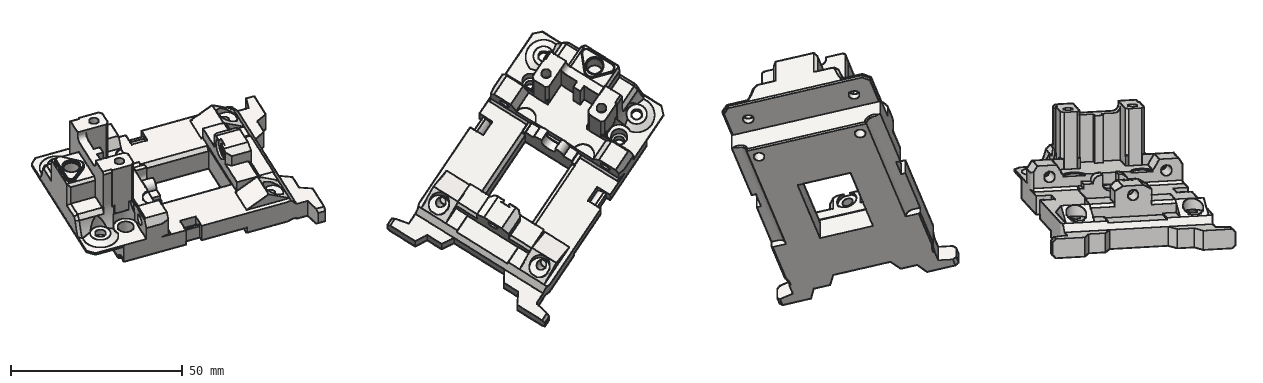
import cadquery as cq
import math

TOTAL_LENGTH = 72.8
HALF_WIDTH = 22.7
DECK_TOP = 8.0
BASE_FRONT = 11.0
BASE_REAR = 65.8
REAR_BEVEL_DEPTH = 1.9
REAR_TAPER_START = 62.95
REAR_TAPER_END = 64.6
REAR_HALF_WIDTH = 22.2

WINDOW_HALF_WIDTH = 8.1
WINDOW_FRONT = 28.7
WINDOW_REAR = 50.65
WINDOW_BEVEL = 1.2

WING_TOP = 5.8
WING_HALF_SPAN = 54.7 / 2
WING_TIP_CHAMFER = 0.95

PLATE_BOTTOM = 7.8
FLOOR_TOP = 8.9
PLATE_CORNER = 2.05
UNDERSIDE_BEVEL = 0.45
SADDLE_HALF_WIDTH = 9.2

CROSS_FRONT = 18.1
CROSS_REAR = 25.25
CROSS_TOP = 15.6
CROSS_FRONT_BEVEL = 0.4
CROSS_SIDE_BEVEL_WIDTH = 1.6
CROSS_SIDE_BEVEL_HEIGHT = 2.5
CROSS_TAPER = 0.45
CROSS_TAPER_LENGTH = 2.2
CROSS_FOOT_BEVEL = 0.7
POCKET_TOP_HALF = 15.35
POCKET_FLOOR_HALF = 13.4
POCKET_FLOOR = 12.4
POCKET_RIM = 0.45
SCALLOP_X = 10.1
SCALLOP_Y = 25.8
SCALLOP_RADIUS = 3.3
SCALLOP_DEPTH = 0.45

FLANK_FOOT = 15.2
FLANK_MIDDLE = (13.75, 11.95)
FLANK_TOP = 12.75
FLANK_HEIGHT = 16.8
PEDESTAL_TOP = 15.4
PEDESTAL_BEVEL = 0.95
BLOCK_HALF_WIDTH = 6.7
BLOCK_TOP = 22.7
BLOCK_BEVEL = 0.9

TOWER_INNER = 6.8
TOWER_OUTER = 12.5
TOWER_FRONT = 8.7
TOWER_REAR = 18.6
TOWER_TOP = 29.55
TOWER_CORNER = 0.9
TOWER_TOP_CHAMFER = 0.65
WEB_REAR = 11.5
WEB_TOP = 26.65
WEB_FILLET = 1.8
WEB_TAB_HALF_WIDTH = 1.25
WEB_TAB_REAR = 13.5
TOWER_HOLE = (9.6, 15.1)
TOWER_HOLE_DEPTH = 8.7

PILOT_DIAMETER = 2.8
SCREW_DIAMETER = 3.1
EAR_HOLE_DIAMETER = 3.2
SMALL_SEAT_DIAMETER = 4.7
SEAT_DIAMETER = 6.0
INNER_SCREW = (15.4, 14.6)
INNER_RELIEF_RADIUS = 3.65
OUTER_SCREW = (16.15, 6.3)
BOSS_HEIGHT = 0.95
BOSS_FOOT_RADIUS = 5.25
EAR_HOLE_X = 17.5
EAR_HOLE_Z = 12.1

BAR_FRONT = 50.9
BAR_REAR = 58.45
BAR_HALF_WIDTH = 12.8
BAR_TOP = 11.7
BAR_REAR_BEVEL = 0.95
WEDGE_OUTER = 21.3
WEDGE_FRONT = 50.4
WEDGE_APEX = 57.35
LUG_HALF_WIDTH = 5.5
LUG_TOP = 16.8
LUG_BEVEL_WIDTH = 2.5
LUG_BEVEL_HEIGHT = 1.4
LUG_HOLE_Z = 14.0
LUG_SEAT_DEPTH = 0.9
WEDGE_HOLE_Y = 60.4
WEDGE_SEAT_Z = 8.4
WEDGE_PILOT_Y = 59.4
WEDGE_PILOT_DEPTH = 4.4
LABEL_HALF_WIDTH = 8.8
LABEL_DEPTH = 0.45

HOLDER_FRONT = 25.2
HOLDER_HALF_WIDTH = 8.1
HOLDER_FOOT_TOP = 10.2
FINGER_HALF_WIDTH = 5.25
FINGER_TOP = 12.6
FINGER_ROUND = 2.3
GROOVE_FRONT = 25.9

CHANNEL_X = 20.7
CHANNEL_RADIUS = SMALL_SEAT_DIAMETER / 2
CHANNEL_END = 49.9
TIE_FRONT = 30.65
TIE_REAR = 35.6
TIE_NOTCH_X = 21.4
TIE_SLOT_OUTER = 20.5
TIE_SLOT_INNER = 18.2
TIE_WEB_TOP = 6.85
TIE_RING = (22.35, 2.9)
TIE_RING_RADIUS = 4.2

COLLAR_HEIGHT = 0.9
COLLAR_HOLE_Y = 3.9
COLLAR_CORNER_X = 4.1
COLLAR_CORNER_Y = 2.05
COLLAR_CORNER_RADIUS = 1.45
COLLAR_APEX_Y = 5.7
COLLAR_APEX_RADIUS = 2.1
COLLAR_EDGE_CHAMFER = 0.3
COLLAR_BORE_DEPTH = 7.3


def box(x0, x1, y0, y1, z0, z1):
    return cq.Workplane("XY").box(x1 - x0, y1 - y0, z1 - z0, centered=False).translate((x0, y0, z0))


def along_y(points, y0, y1):
    """Extrude an (X, Z) outline from y0 to y1."""
    return cq.Workplane("XZ", origin=(0, y0, 0)).polyline(points).close().extrude(y0 - y1)


def along_x(points, x0, x1):
    """Extrude a (Y, Z) outline from x0 to x1."""
    return cq.Workplane("YZ", origin=(x0, 0, 0)).polyline(points).close().extrude(x1 - x0)


def upright(points, z0, z1):
    """Extrude an (X, Y) outline from z0 to z1."""
    return cq.Workplane("XY", origin=(0, 0, z0)).polyline(points).close().extrude(z1 - z0)


def rod_z(x, y, radius, z0, z1):
    return cq.Workplane("XY", origin=(x, y, z0)).circle(radius).extrude(z1 - z0)


def rod_y(x, z, radius, y0, y1):
    return cq.Workplane("XZ", origin=(x, y0, z)).circle(radius).extrude(y0 - y1)


def mirrored(right_half):
    """A right-hand feature together with its left-hand twin."""
    return right_half.union(right_half.mirror("YZ"))


def symmetric(right_points):
    """Close an outline across X = 0 by mirroring its right-hand points."""
    return right_points + [(-x, v) for x, v in reversed(right_points)]


def make_base():
    outline = symmetric([
        (HALF_WIDTH, BASE_FRONT),
        (HALF_WIDTH, REAR_TAPER_START),
        (REAR_HALF_WIDTH, REAR_TAPER_END),
        (REAR_HALF_WIDTH, BASE_REAR),
    ])
    base = upright(outline, 0, DECK_TOP)
    base = base.faces("<Z").edges("not >Y").chamfer(UNDERSIDE_BEVEL)
    rear_bevel = along_x(
        [(BASE_REAR, WING_TOP), (BASE_REAR, DECK_TOP), (BASE_REAR - REAR_BEVEL_DEPTH, DECK_TOP)],
        -HALF_WIDTH, HALF_WIDTH,
    )
    window = box(-WINDOW_HALF_WIDTH, WINDOW_HALF_WIDTH, WINDOW_FRONT, WINDOW_REAR, 0, DECK_TOP)
    bevels = along_y(
        symmetric([
            (WINDOW_HALF_WIDTH, DECK_TOP - WINDOW_BEVEL),
            (WINDOW_HALF_WIDTH + WINDOW_BEVEL, DECK_TOP),
        ]),
        WINDOW_FRONT, WINDOW_REAR,
    )
    return base.cut(rear_bevel).cut(window).cut(bevels)


def make_wing():
    outline = [
        (8.7, BASE_REAR),
        (10.8, 69.3),
        (15.8, 69.3),
        (17.7, TOTAL_LENGTH),
        (WING_HALF_SPAN, TOTAL_LENGTH),
        (WING_HALF_SPAN, 70.45),
        (REAR_HALF_WIDTH, 69.3),
        (REAR_HALF_WIDTH, BASE_REAR),
    ]
    wing = upright(outline, 0, WING_TOP)
    return wing.faces(">X").edges("|Y").chamfer(WING_TIP_CHAMFER)


def make_plate_and_saddle():
    outline = symmetric([
        (HALF_WIDTH - PLATE_CORNER, 0),
        (HALF_WIDTH, PLATE_CORNER),
        (HALF_WIDTH, BASE_FRONT),
    ])
    plate = upright(outline, PLATE_BOTTOM, FLOOR_TOP)
    plate = plate.faces("<Z").edges("not >Y").chamfer(UNDERSIDE_BEVEL)
    floor = box(-HALF_WIDTH, HALF_WIDTH, BASE_FRONT, CROSS_FRONT, DECK_TOP, FLOOR_TOP)
    saddle = box(-SADDLE_HALF_WIDTH, SADDLE_HALF_WIDTH, CROSS_REAR, WINDOW_FRONT, DECK_TOP, FLOOR_TOP)
    return plate.union(floor).union(saddle)


def make_cross_block():
    outline = symmetric([
        (HALF_WIDTH, DECK_TOP),
        (HALF_WIDTH, CROSS_TOP - CROSS_SIDE_BEVEL_HEIGHT),
        (HALF_WIDTH - CROSS_SIDE_BEVEL_WIDTH, CROSS_TOP),
    ])
    block = along_y(outline, CROSS_FRONT, CROSS_REAR)
    block = block.faces("<Y").edges(">Z").chamfer(CROSS_FRONT_BEVEL)
    plan = symmetric([
        (HALF_WIDTH, CROSS_FRONT),
        (HALF_WIDTH, CROSS_REAR - CROSS_TAPER_LENGTH),
        (HALF_WIDTH - CROSS_TAPER, CROSS_REAR),
    ])
    block = block.intersect(upright(plan, DECK_TOP, CROSS_TOP))
    foot_bevel = along_x(
        [(CROSS_REAR, DECK_TOP), (CROSS_REAR, FLOOR_TOP), (CROSS_REAR + CROSS_FOOT_BEVEL, DECK_TOP)],
        SADDLE_HALF_WIDTH, HALF_WIDTH - CROSS_TAPER,
    )
    pocket = along_y(
        symmetric([(POCKET_FLOOR_HALF, POCKET_FLOOR), (POCKET_TOP_HALF, CROSS_TOP)]),
        CROSS_FRONT + POCKET_RIM, CROSS_REAR,
    )
    scallop = rod_z(SCALLOP_X, SCALLOP_Y, SCALLOP_RADIUS, POCKET_FLOOR - SCALLOP_DEPTH, POCKET_FLOOR)
    block = block.cut(pocket).cut(mirrored(scallop))
    return block.union(mirrored(foot_bevel))


def make_pedestal_and_block():
    flanks = (
        cq.Workplane("XZ")
        .moveTo(-FLANK_FOOT, FLOOR_TOP)
        .lineTo(FLANK_FOOT, FLOOR_TOP)
        .threePointArc(FLANK_MIDDLE, (FLANK_TOP, FLANK_HEIGHT))
        .lineTo(-FLANK_TOP, FLANK_HEIGHT)
        .threePointArc((-FLANK_MIDDLE[0], FLANK_MIDDLE[1]), (-FLANK_FOOT, FLOOR_TOP))
        .close()
        .extrude(-CROSS_FRONT)
    )
    bevel_inner = FLANK_TOP - PEDESTAL_BEVEL
    bevel_reach = FLANK_FOOT - bevel_inner
    ahead = along_y(
        symmetric([
            (bevel_inner, PEDESTAL_TOP),
            (FLANK_FOOT, PEDESTAL_TOP - bevel_reach),
            (FLANK_FOOT, FLANK_HEIGHT),
        ]),
        0, TOWER_FRONT,
    )
    behind = box(-HALF_WIDTH, HALF_WIDTH, WEB_REAR, CROSS_FRONT, CROSS_TOP, FLANK_HEIGHT)
    pedestal = flanks.cut(ahead).cut(behind)
    pedestal = pedestal.faces("<Y").edges("not <Z").chamfer(PEDESTAL_BEVEL)
    block = box(-BLOCK_HALF_WIDTH, BLOCK_HALF_WIDTH, 0, TOWER_FRONT, FLOOR_TOP, BLOCK_TOP)
    block = block.edges("(|Y and >Z) or (|Z and <Y)").chamfer(BLOCK_BEVEL)
    return pedestal.union(block)


def make_towers():
    column = box(TOWER_INNER, TOWER_OUTER, WEB_REAR, TOWER_REAR, POCKET_FLOOR, TOWER_TOP)
    column = column.edges("|Z and >Y").chamfer(TOWER_CORNER)
    front_column = box(TOWER_INNER, FLANK_TOP, TOWER_FRONT, WEB_REAR, PEDESTAL_TOP, TOWER_TOP)
    column = column.union(front_column)
    corner_bevel = along_y(
        [
            (FLANK_TOP - TOWER_TOP_CHAMFER, TOWER_TOP),
            (FLANK_TOP, TOWER_TOP),
            (FLANK_TOP, TOWER_TOP - TOWER_TOP_CHAMFER),
        ],
        TOWER_FRONT, WEB_REAR,
    )
    hole = rod_z(*TOWER_HOLE, PILOT_DIAMETER / 2, TOWER_TOP - TOWER_HOLE_DEPTH, TOWER_TOP)
    towers = mirrored(column.cut(corner_bevel).cut(hole))

    web = box(-TOWER_INNER, TOWER_INNER, TOWER_FRONT, WEB_REAR, FLOOR_TOP, WEB_TOP + WEB_FILLET)
    gap = box(-TOWER_INNER, TOWER_INNER, TOWER_FRONT, WEB_REAR, WEB_TOP, TOWER_TOP)
    gap = gap.edges("|Y and <Z").fillet(WEB_FILLET)
    tab = box(-WEB_TAB_HALF_WIDTH, WEB_TAB_HALF_WIDTH, WEB_REAR, WEB_TAB_REAR, FLOOR_TOP, WEB_TOP)
    return towers.union(web.cut(gap)).union(tab)


def make_screw_boss():
    """Conical rise around an outer screw, with a flat seat on top."""
    seat_radius = SEAT_DIAMETER / 2
    rise = cq.Workplane("XZ").polyline([
        (0, FLOOR_TOP),
        (BOSS_FOOT_RADIUS, FLOOR_TOP),
        (seat_radius, FLOOR_TOP + BOSS_HEIGHT),
        (0, FLOOR_TOP + BOSS_HEIGHT),
    ]).close().revolve(360, (0, 0, 0), (0, 1, 0))
    return rise.translate((*OUTER_SCREW, 0))


def make_front_screw_cuts():
    seat_z = FLOOR_TOP + BOSS_HEIGHT
    outer_seat = rod_z(*OUTER_SCREW, SEAT_DIAMETER / 2, seat_z, PEDESTAL_TOP)
    outer_hole = rod_z(*OUTER_SCREW, SCREW_DIAMETER / 2, 0, seat_z)
    relief = rod_z(*INNER_SCREW, INNER_RELIEF_RADIUS, FLOOR_TOP, CROSS_TOP)
    screw_x, screw_y = INNER_SCREW
    tangent = INNER_RELIEF_RADIUS * math.sqrt(0.5)
    runout = CROSS_FRONT - screw_y - tangent
    relief_flat = upright(
        [
            (screw_x, screw_y),
            (screw_x - tangent, screw_y + tangent),
            (screw_x - tangent + runout, CROSS_FRONT),
            (screw_x + INNER_RELIEF_RADIUS, CROSS_FRONT),
            (screw_x + INNER_RELIEF_RADIUS, screw_y),
        ],
        FLOOR_TOP, CROSS_TOP,
    )
    inner_seat = rod_z(*INNER_SCREW, SMALL_SEAT_DIAMETER / 2, DECK_TOP / 2, FLOOR_TOP)
    inner_hole = rod_z(*INNER_SCREW, SCREW_DIAMETER / 2, 0, FLOOR_TOP)
    ear_hole = rod_y(EAR_HOLE_X, EAR_HOLE_Z, EAR_HOLE_DIAMETER / 2, CROSS_FRONT, CROSS_REAR)
    cuts = outer_seat.union(outer_hole).union(relief).union(relief_flat).union(inner_seat).union(inner_hole)
    return mirrored(cuts.union(ear_hole))


def make_rear_bar():
    profile = [
        (BAR_FRONT, 0),
        (BAR_FRONT, BAR_TOP),
        (BAR_REAR - BAR_REAR_BEVEL, BAR_TOP),
        (BAR_REAR, BAR_TOP - BAR_REAR_BEVEL),
        (BAR_REAR, 0),
    ]
    bar = along_x(profile, -BAR_HALF_WIDTH, BAR_HALF_WIDTH)
    lug_outline = symmetric([
        (LUG_HALF_WIDTH, DECK_TOP),
        (LUG_HALF_WIDTH, LUG_TOP - LUG_BEVEL_HEIGHT),
        (LUG_HALF_WIDTH - LUG_BEVEL_WIDTH, LUG_TOP),
    ])
    lug = along_y(lug_outline, BAR_FRONT, BAR_REAR)
    lug_plan = symmetric([
        (LUG_HALF_WIDTH - LUG_BEVEL_HEIGHT, BAR_FRONT),
        (LUG_HALF_WIDTH, BAR_FRONT + LUG_BEVEL_HEIGHT),
        (LUG_HALF_WIDTH, BAR_REAR),
    ])
    lug = lug.intersect(upright(lug_plan, DECK_TOP, LUG_TOP))
    hole = rod_y(0, LUG_HOLE_Z, SCREW_DIAMETER / 2, BAR_FRONT, BAR_REAR)
    seat = rod_y(0, LUG_HOLE_Z, SEAT_DIAMETER / 2, BAR_FRONT, BAR_FRONT + LUG_SEAT_DEPTH)
    return bar.union(lug).cut(hole).cut(seat)


def make_wedge():
    profile = [
        (WEDGE_FRONT, DECK_TOP),
        (WEDGE_APEX, BAR_TOP),
        (BASE_REAR - REAR_BEVEL_DEPTH, DECK_TOP),
    ]
    return along_x(profile, BAR_HALF_WIDTH, WEDGE_OUTER)


def make_wedge_cuts():
    """Level screw seat in the rear slope, and a pilot hole square to that slope."""
    seat = rod_z(EAR_HOLE_X, WEDGE_HOLE_Y, SEAT_DIAMETER / 2, WEDGE_SEAT_Z, BAR_TOP)
    slope_run = BASE_REAR - REAR_BEVEL_DEPTH - WEDGE_APEX
    slope_angle = math.degrees(math.atan2(BAR_TOP - DECK_TOP, slope_run))
    pilot = rod_z(0, 0, PILOT_DIAMETER / 2, -WEDGE_PILOT_DEPTH, WEDGE_PILOT_DEPTH)
    pilot = pilot.rotate((0, 0, 0), (1, 0, 0), -slope_angle)
    pilot = pilot.translate((EAR_HOLE_X, WEDGE_PILOT_Y, WEDGE_SEAT_Z))
    return mirrored(seat.union(pilot))


def make_label_recess():
    return box(
        -LABEL_HALF_WIDTH, LABEL_HALF_WIDTH,
        BAR_REAR, BASE_REAR, DECK_TOP - LABEL_DEPTH, DECK_TOP,
    )


def make_tube_holder():
    """Two round-backed fingers on square feet; the groove between them is cut later."""
    feet = box(-HOLDER_HALF_WIDTH, HOLDER_HALF_WIDTH, HOLDER_FRONT, WINDOW_FRONT, FLOOR_TOP, HOLDER_FOOT_TOP)
    fingers = box(-FINGER_HALF_WIDTH, FINGER_HALF_WIDTH, HOLDER_FRONT, WINDOW_FRONT, FLOOR_TOP, FINGER_TOP)
    fingers = fingers.edges("|Y and >Z").fillet(FINGER_ROUND)
    return feet.union(fingers)


def make_groove_cuts():
    groove_radius = SMALL_SEAT_DIAMETER / 2
    groove = rod_y(0, HOLDER_FOOT_TOP, groove_radius, GROOVE_FRONT, WINDOW_FRONT)
    opening = box(
        -groove_radius, groove_radius, HOLDER_FRONT, WINDOW_FRONT, HOLDER_FOOT_TOP, FINGER_TOP,
    )
    between = box(-groove_radius, groove_radius, HOLDER_FRONT, GROOVE_FRONT, FLOOR_TOP, FINGER_TOP)
    return groove.union(opening).union(between)


def make_channel_cuts():
    rod = rod_y(CHANNEL_X, 0, CHANNEL_RADIUS, BASE_FRONT, CHANNEL_END)
    side_opening = box(CHANNEL_X, HALF_WIDTH, BASE_FRONT, CHANNEL_END, 0, CHANNEL_RADIUS)
    notch = box(TIE_NOTCH_X, HALF_WIDTH, TIE_FRONT, TIE_REAR, 0, DECK_TOP)
    web_top = box(TIE_SLOT_OUTER, TIE_NOTCH_X, TIE_FRONT, TIE_REAR, TIE_WEB_TOP, DECK_TOP)
    slot = box(TIE_SLOT_INNER, TIE_SLOT_OUTER, TIE_FRONT, TIE_REAR, TIE_RING[1], DECK_TOP)
    slot = slot.cut(rod_y(*TIE_RING, TIE_RING_RADIUS, TIE_FRONT, TIE_REAR))
    mouth = cq.Workplane(cq.Solid.makeCone(
        CHANNEL_RADIUS + UNDERSIDE_BEVEL, CHANNEL_RADIUS, UNDERSIDE_BEVEL,
        cq.Vector(CHANNEL_X, BASE_FRONT, 0), cq.Vector(0, 1, 0),
    ))
    return mirrored(rod.union(mouth).union(side_opening).union(notch).union(web_top).union(slot))


def make_frame():
    frame = make_base().union(make_plate_and_saddle())
    for feature in (make_wing(), make_screw_boss(), make_wedge()):
        frame = frame.union(mirrored(feature))
    frame = frame.union(make_cross_block()).union(make_pedestal_and_block())
    frame = frame.cut(make_front_screw_cuts())
    between_towers = box(-TOWER_INNER, TOWER_INNER, WEB_REAR, CROSS_REAR, POCKET_FLOOR, CROSS_TOP)
    frame = frame.cut(between_towers)
    for feature in (make_towers(), make_rear_bar(), make_tube_holder()):
        frame = frame.union(feature)
    collar_bore = rod_z(0, COLLAR_HOLE_Y, SMALL_SEAT_DIAMETER / 2, BLOCK_TOP - COLLAR_BORE_DEPTH, BLOCK_TOP)
    cuts = (
        make_groove_cuts(), make_wedge_cuts(),
        make_label_recess(), make_channel_cuts(), collar_bore,
    )
    for cut in cuts:
        frame = frame.cut(cut)
    return frame


def make_collar():
    """Rounded triangular ring: the hull of three upright discs, bored through."""
    corner_to_apex = math.hypot(COLLAR_CORNER_X, COLLAR_APEX_Y - COLLAR_CORNER_Y)
    rise_angle = math.atan2(COLLAR_APEX_Y - COLLAR_CORNER_Y, COLLAR_CORNER_X)
    spread_angle = math.asin((COLLAR_APEX_RADIUS - COLLAR_CORNER_RADIUS) / corner_to_apex)
    normal = math.pi / 2 - rise_angle - spread_angle

    def on_corner(angle):
        return (
            COLLAR_CORNER_X + COLLAR_CORNER_RADIUS * math.cos(angle),
            COLLAR_CORNER_Y + COLLAR_CORNER_RADIUS * math.sin(angle),
        )

    bottom = on_corner(-math.pi / 2)
    middle = on_corner((normal - math.pi / 2) / 2)
    flank_start = on_corner(normal)
    flank_end = (
        COLLAR_APEX_RADIUS * math.cos(normal),
        COLLAR_APEX_Y + COLLAR_APEX_RADIUS * math.sin(normal),
    )
    collar = (
        cq.Workplane("XY", origin=(0, 0, BLOCK_TOP))
        .moveTo(*bottom)
        .threePointArc(middle, flank_start)
        .lineTo(*flank_end)
        .threePointArc((0, COLLAR_APEX_Y + COLLAR_APEX_RADIUS), (-flank_end[0], flank_end[1]))
        .lineTo(-flank_start[0], flank_start[1])
        .threePointArc((-middle[0], middle[1]), (-bottom[0], bottom[1]))
        .close()
        .extrude(COLLAR_HEIGHT)
    )
    hole = rod_z(0, COLLAR_HOLE_Y, SMALL_SEAT_DIAMETER / 2, BLOCK_TOP, BLOCK_TOP + COLLAR_HEIGHT)
    collar = collar.cut(hole)
    return collar.faces(">Z").edges().chamfer(COLLAR_EDGE_CHAMFER)


frame = make_frame()
collar = make_collar()
result = cq.Compound.makeCompound([frame.val(), collar.val()])